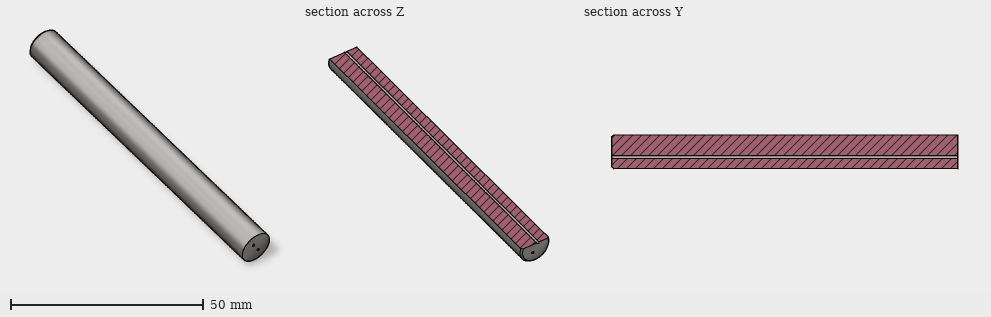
import cadquery as cq

rod_length = 90.0
rod_diameter = 9.0
chamfer_size = 0.45

channel_diameter = 0.6
channel_spacing = 3.15
channel_count = 2
first_channel_angle = 120.0


def make_rod():
    """Cylinder centred on the origin, chamfered at its -X end."""
    rod = cq.Workplane("YZ").circle(rod_diameter / 2).extrude(rod_length / 2, both=True)
    return rod.faces("<X").edges().chamfer(chamfer_size)


def make_channels():
    """Evenly spaced straight channels running the full rod length."""
    return (
        cq.Workplane("YZ")
        .polarArray(channel_spacing / 2, first_channel_angle, 360, channel_count)
        .circle(channel_diameter / 2)
        .extrude(rod_length / 2, both=True)
    )


result = make_rod().cut(make_channels())